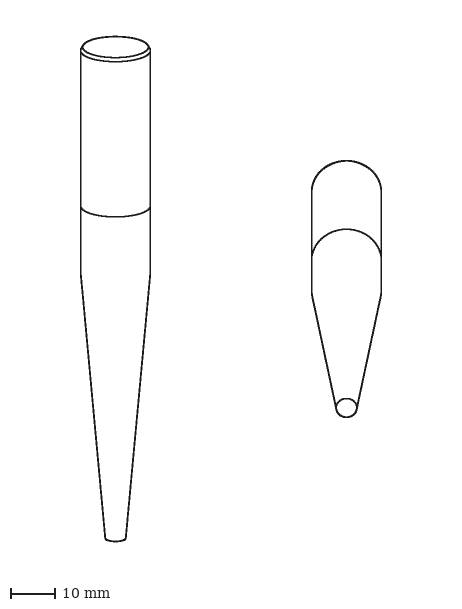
import cadquery as cq

total_length = 117.5
diameter = 15.9
tip_diameter = 4.7
taper_length = 63.6
collar_length = 16.0
chamfer_height = 0.8
chamfer_width = 0.5

body_radius = diameter / 2
tip_radius = tip_diameter / 2
joint_height = taper_length + collar_length
shank_length = total_length - joint_height


def make_tapered_tip():
    """Solid of revolution: a cone widening upward into a short cylindrical collar."""
    return (
        cq.Workplane("XZ")
        .moveTo(0, 0)
        .lineTo(tip_radius, 0)
        .lineTo(body_radius, taper_length)
        .lineTo(body_radius, joint_height)
        .lineTo(0, joint_height)
        .close()
        .revolve(360, (0, 0, 0), (0, 1, 0))
    )


def make_shank():
    """Cylindrical shank resting on the collar, chamfered at its free upper end."""
    return (
        cq.Workplane("XY")
        .workplane(offset=joint_height)
        .circle(body_radius)
        .extrude(shank_length)
        .faces(">Z")
        .edges()
        .chamfer(chamfer_height, chamfer_width)
    )


tapered_tip = make_tapered_tip()
shank = make_shank()

result = cq.Compound.makeCompound([tapered_tip.val(), shank.val()])